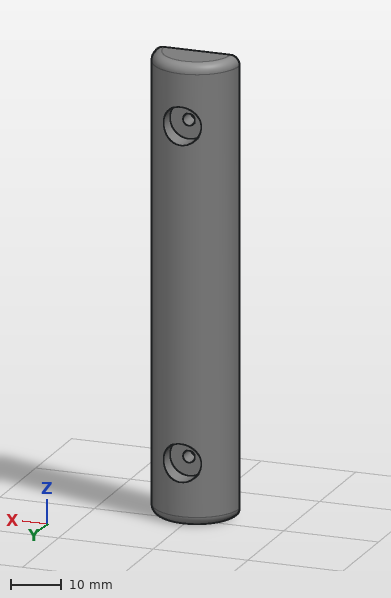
import cadquery as cq

length = 96.0
radius = 9.0
end_fillet = 2.0

hole_diameter = 2.5
counterbore_diameter = 8.0
counterbore_floor = 4.5
upper_hole_z = 83.0
lower_hole_z = 13.1


def half_round_bar():
    """Half of a round bar whose end edges are rounded over."""
    round_bar = cq.Workplane("XY").circle(radius).extrude(length)
    rounded_bar = round_bar.edges("%CIRCLE").fillet(end_fillet)
    rear_half = (
        cq.Workplane("XY")
        .box(2 * radius, radius, length, centered=(True, False, False))
    )
    return rounded_bar.intersect(rear_half)


def cylinder_along_y(diameter, start_y, z):
    """Cutting cylinder running from start_y out through the round side."""
    return (
        cq.Workplane("XZ", origin=(0, start_y, z))
        .circle(diameter / 2)
        .extrude(start_y - radius)
    )


result = half_round_bar()
for hole_z in (lower_hole_z, upper_hole_z):
    result = result.cut(cylinder_along_y(hole_diameter, 0, hole_z))
    result = result.cut(cylinder_along_y(counterbore_diameter, counterbore_floor, hole_z))